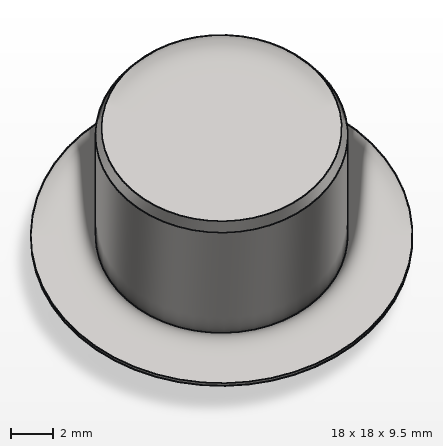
import cadquery as cq

flange_diameter = 18.0
plug_diameter = 11.9
total_height = 9.5
plug_height = 8.0
rim_thickness = 0.22
chamfer_height = 0.5
chamfer_width = 0.29

flange_radius = flange_diameter / 2
plug_radius = plug_diameter / 2
dome_height = total_height - plug_height - rim_thickness

rim_bottom = dome_height
flange_top = rim_bottom + rim_thickness
chamfer_start = total_height - chamfer_height

dome_radius = (flange_radius**2 + dome_height**2) / (2 * dome_height)
arc_mid_radius = flange_radius / 2
arc_mid_height = dome_radius - (dome_radius**2 - arc_mid_radius**2) ** 0.5

half_section = (
    cq.Workplane("XZ")
    .moveTo(0, 0)
    .threePointArc((arc_mid_radius, arc_mid_height), (flange_radius, rim_bottom))
    .lineTo(flange_radius, flange_top)
    .lineTo(plug_radius, flange_top)
    .lineTo(plug_radius, chamfer_start)
    .lineTo(plug_radius - chamfer_width, total_height)
    .lineTo(0, total_height)
    .close()
)

result = half_section.revolve(360, (0, 0, 0), (0, 1, 0))